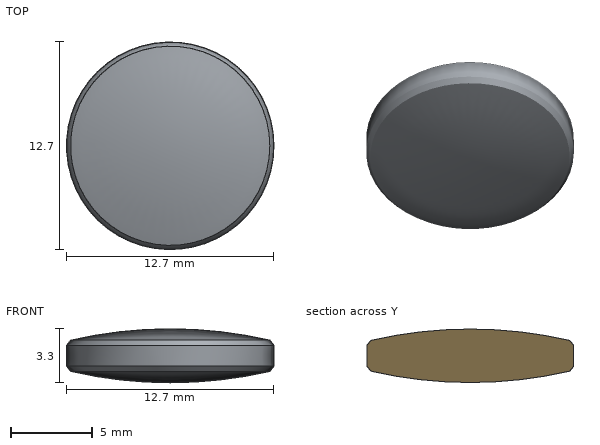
import cadquery as cq

diameter = 12.7
center_thickness = 3.3
rim_height = 1.27
bevel_width = 0.25
bevel_height = 0.32

rim_radius = diameter / 2
dome_radius = rim_radius - bevel_width
apex_z = center_thickness / 2
band_z = rim_height / 2
dome_edge_z = band_z + bevel_height

sagitta = apex_z - dome_edge_z
sphere_radius = (dome_radius**2 + sagitta**2) / (2 * sagitta)


def dome_arc_point(radius):
    """Point on the upper spherical face at the given distance from the axis."""
    drop = sphere_radius - (sphere_radius**2 - radius**2) ** 0.5
    return radius, apex_z - drop


mid_r, mid_z = dome_arc_point(dome_radius / 2)

half_section = (
    cq.Workplane("XZ")
    .moveTo(0, -apex_z)
    .threePointArc((mid_r, -mid_z), (dome_radius, -dome_edge_z))
    .lineTo(rim_radius, -band_z)
    .lineTo(rim_radius, band_z)
    .lineTo(dome_radius, dome_edge_z)
    .threePointArc((mid_r, mid_z), (0, apex_z))
    .close()
)
result = half_section.revolve(360, (0, 0, 0), (0, 1, 0))